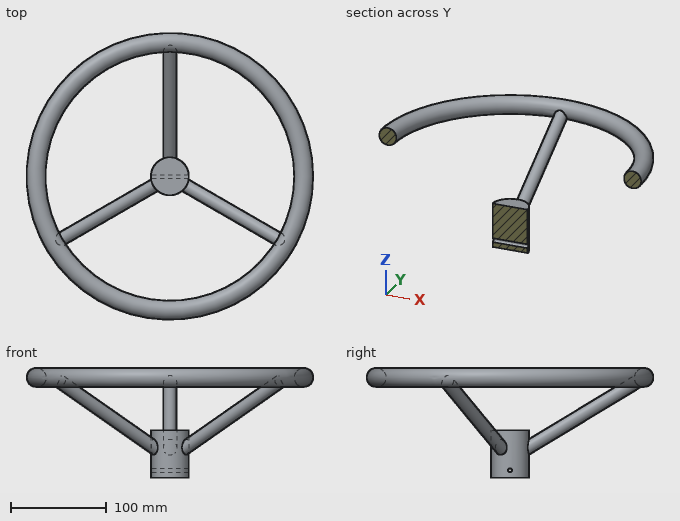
import cadquery as cq
import math

rim_outer_diameter = 299.7
rim_bar_diameter = 20.0
rim_radius = (rim_outer_diameter - rim_bar_diameter) / 2

total_height = 115.0
hub_diameter = 40.0
hub_height = 50.0
rim_height = total_height - rim_bar_diameter / 2

spoke_diameter = 14.0
spoke_count = 3
first_spoke_angle = 90.0
spoke_start_height = 20.5

pin_hole_diameter = 4.0
pin_hole_height = 8.0


def make_rim():
    centre = cq.Vector(0, 0, rim_height)
    ring = cq.Solid.makeTorus(rim_radius, rim_bar_diameter / 2, centre, cq.Vector(0, 0, 1))
    return cq.Workplane(obj=ring)


def make_hub():
    return cq.Workplane("XY").circle(hub_diameter / 2).extrude(hub_height)


def make_spoke(angle):
    """Bar leaning outward at the given angle about Z, counted from +X."""
    start = cq.Vector(0, 0, spoke_start_height)
    end_x = rim_radius * math.cos(math.radians(angle))
    end_y = rim_radius * math.sin(math.radians(angle))
    path = cq.Vector(end_x, end_y, rim_height) - start
    bar = cq.Solid.makeCylinder(spoke_diameter / 2, path.Length, start, path)
    return cq.Workplane(obj=bar)


def make_pin_hole():
    profile = cq.Workplane("YZ").center(0, pin_hole_height).circle(pin_hole_diameter / 2)
    return profile.extrude(hub_diameter, both=True)


hub_with_spokes = make_hub()
for index in range(spoke_count):
    hub_with_spokes = hub_with_spokes.union(make_spoke(first_spoke_angle + index * 360 / spoke_count))
hub_with_spokes = hub_with_spokes.cut(make_pin_hole())

result = hub_with_spokes.union(make_rim(), clean=False)